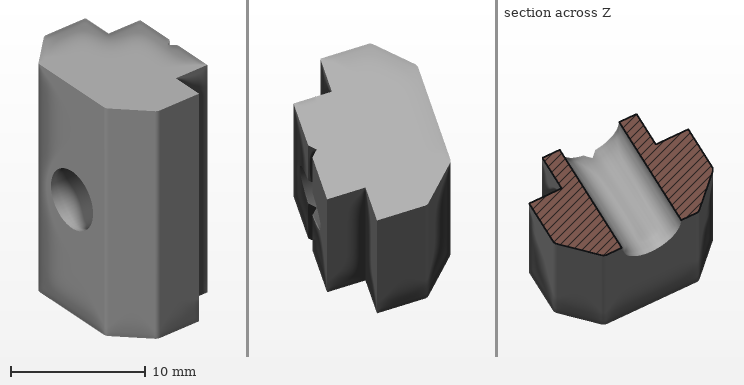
import cadquery as cq

body_width = 13.5
total_height = 9.7
length = 20.0

neck_width = 8.0
neck_height = 3.0

bevel_size = 2.75
edge_radius = 0.5

groove_width = 1.0
groove_depth = 0.5

hole_diameter = 5.0

half_body = body_width / 2
half_neck = neck_width / 2
half_groove = groove_width / 2
half_base = half_body - bevel_size
shoulder_y = total_height - neck_height


def make_body():
    """Extrude the T-shaped section with bevelled lower corners along Z."""
    right_side = [
        (half_base, 0),
        (half_body, bevel_size),
        (half_body, shoulder_y),
        (half_neck, shoulder_y),
        (half_neck, total_height),
        (half_groove, total_height),
    ]
    groove_bottom = (0, total_height - groove_depth)
    left_side = [(-x, y) for x, y in reversed(right_side)]
    section = right_side + [groove_bottom] + left_side
    return cq.Workplane("XY").polyline(section).close().extrude(length)


def round_bevel_edges(body):
    """Round the four long edges at the ends of the two bevels."""
    bevel_edges = cq.selectors.BoxSelector(
        (-body_width, -edge_radius, 0),
        (body_width, bevel_size + edge_radius, length),
    )
    return body.edges("|Z").edges(bevel_edges).fillet(edge_radius)


def make_hole():
    """Cylinder along Y, crossing the nut at half its length."""
    return (
        cq.Workplane("XZ")
        .center(0, length / 2)
        .circle(hole_diameter / 2)
        .extrude(-total_height)
    )


result = round_bevel_edges(make_body()).cut(make_hole())